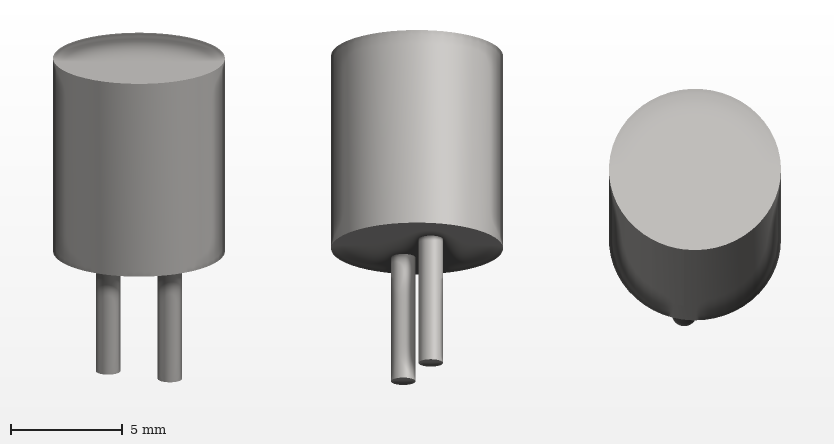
import cadquery as cq

total_height = 14.85
housing_diameter = 7.7
pin_length = 5.8
housing_height = total_height - pin_length

pin_diameter = 1.1
pin_spacing = 3.0

marker_width = 1.51
marker_inner_x = -0.77
marker_bottom_gap = 1.81
marker_height = housing_height - marker_bottom_gap


def make_cylinder():
    """Full housing cylinder, standing on top of the pin length."""
    return (
        cq.Workplane("XY")
        .workplane(offset=pin_length)
        .circle(housing_diameter / 2)
        .extrude(housing_height)
    )


def make_marker():
    """Rectangular bar whose outer face follows the housing wall."""
    housing_radius = housing_diameter / 2
    bar_length = housing_radius + marker_inner_x
    bar = (
        cq.Workplane("XY")
        .workplane(offset=pin_length + marker_bottom_gap)
        .center(marker_inner_x - bar_length / 2, 0)
        .rect(bar_length, marker_width)
        .extrude(marker_height)
    )
    return bar.intersect(make_cylinder())


def make_housing():
    """Housing cylinder with a recess that matches the marker."""
    return make_cylinder().cut(make_marker())


def make_pin(x):
    """Round pin that ends at the underside of the housing."""
    return cq.Workplane("XY").center(x, 0).circle(pin_diameter / 2).extrude(pin_length)


housing = make_housing()
marker = make_marker()
pins = [make_pin(side * pin_spacing / 2) for side in (-1, 1)]

result = cq.Compound.makeCompound([housing.val(), marker.val(), *[pin.val() for pin in pins]])